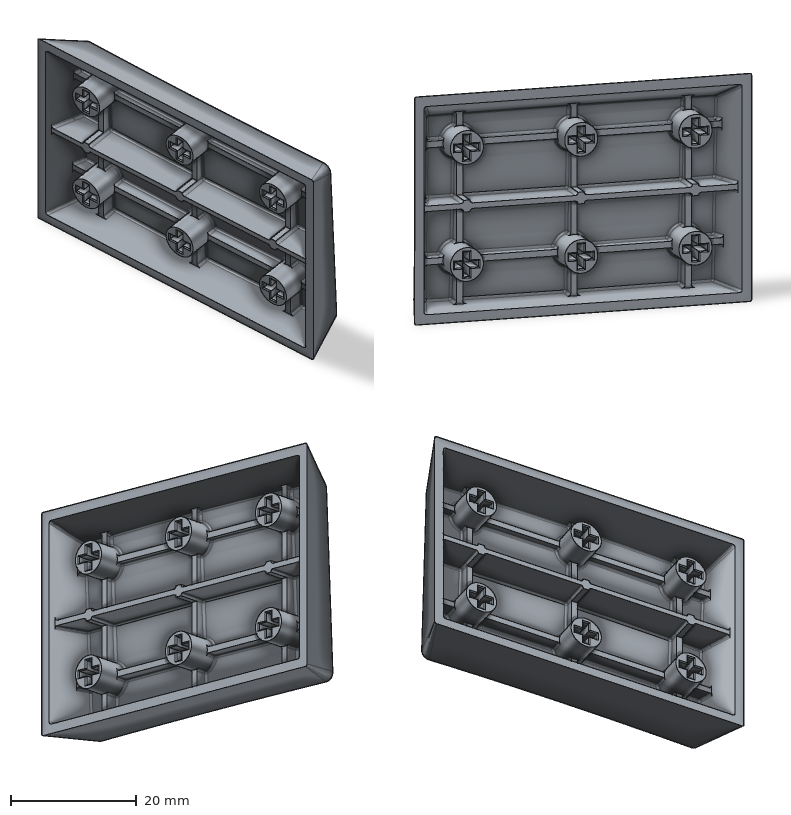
import cadquery as cq
import math

WIDTH = 56.2
HEIGHT = 37.15
RIM_CORNER_RADIUS = 0.35

BACK_HALF_WIDTH = 25.15
BACK_TOP_Z = 14.85
BACK_TOP_Y = 8.05
BACK_BOTTOM_Z = -18.1
BACK_BOTTOM_Y = 9.73
BACK_CORNER_RADIUS = 1.5
BACK_EDGE_FILLET = 0.3
DISH_SAG = 0.45

OPENING_HALF_WIDTH = 26.5
OPENING_TOP_Z = 16.9
OPENING_BOTTOM_Z = -17.0
FLOOR_HALF_WIDTH = 24.1
FLOOR_TOP_Z = 13.95
FLOOR_BOTTOM_Z = -16.65
FLOOR_THICKNESS = 2.0
CAVITY_CORNER_RADIUS = 0.45
ROOT_FILLET = 0.4
CORNER_FILLET = 0.5

KEY_PITCH = 19.05
STEM_XS = (-KEY_PITCH, 0, KEY_PITCH)
STEM_ZS = (-KEY_PITCH / 2, KEY_PITCH / 2)
STEM_DIAMETER = 5.5
STEM_FRONT_Y = 1.0
CROSS_LENGTH = 4.05
CROSS_ARM = 1.05
CROSS_CHAMFER = 0.18
CROSS_DEPTH = 4.0
RIB_THICKNESS = 1.05
RIB_FRONT_Y = 4.8
MAIN_RIB_THICKNESS = 0.9
MAIN_RIB_FRONT_Y = 1.0

SLANT_RUN = BACK_BOTTOM_Y - BACK_TOP_Y
SLANT_RISE = BACK_TOP_Z - BACK_BOTTOM_Z
SLANT_LENGTH = math.hypot(SLANT_RUN, SLANT_RISE)
SLANT_COSINE = SLANT_RISE / SLANT_LENGTH
INWARD_NORMAL = (0, -SLANT_COSINE, -SLANT_RUN / SLANT_LENGTH)
DISH_RADIUS = (BACK_HALF_WIDTH**2 + DISH_SAG**2) / (2 * DISH_SAG)

ALONG_Y_LIMIT = 0.7


def rim_plane(z):
    """Plane of the rim, facing -Y, with its origin at height z."""
    return cq.Plane(origin=(0, 0, z), xDir=(1, 0, 0), normal=(0, -1, 0))


def slanted_plane(z, depth):
    """Plane parallel to the back face, depth millimetres inside it, with its origin at height z."""
    back_y = BACK_BOTTOM_Y - SLANT_RUN * (z - BACK_BOTTOM_Z) / SLANT_RISE
    y = back_y - depth / SLANT_COSINE
    return cq.Plane(origin=(0, y, z), xDir=(1, 0, 0), normal=INWARD_NORMAL)


def rounded_outline(plane, half_width, half_height, radius):
    """Closed wire: rectangle with arc corners, centred on the plane's origin."""
    straight_x = half_width - radius
    straight_y = half_height - radius
    arc_x = straight_x + radius * math.sqrt(0.5)
    arc_y = straight_y + radius * math.sqrt(0.5)
    return (
        cq.Workplane(plane)
        .moveTo(-straight_x, -half_height)
        .lineTo(straight_x, -half_height)
        .threePointArc((arc_x, -arc_y), (half_width, -straight_y))
        .lineTo(half_width, straight_y)
        .threePointArc((arc_x, arc_y), (straight_x, half_height))
        .lineTo(-straight_x, half_height)
        .threePointArc((-arc_x, arc_y), (-half_width, straight_y))
        .lineTo(-half_width, -straight_y)
        .threePointArc((-arc_x, -arc_y), (-straight_x, -half_height))
        .close()
        .val()
    )


def dish(depth):
    """Cylinder whose surface is the dished back face moved depth millimetres inward."""
    plane = slanted_plane(0, 0)
    axis_point = plane.toWorldCoords((0, 0, DISH_SAG - DISH_RADIUS))
    axis_plane = cq.Plane(origin=axis_point, xDir=(1, 0, 0), normal=plane.yDir)
    return cq.Workplane(axis_plane).circle(DISH_RADIUS + depth).extrude(HEIGHT, both=True)


def dished_block(rim, back, depth):
    """Block tapering from the rim outline to the back outline, with a dished back."""
    return cq.Workplane(cq.Solid.makeLoft([rim, back], True)).cut(dish(depth))


def outer_block():
    rim = rounded_outline(rim_plane(0), WIDTH / 2, HEIGHT / 2, RIM_CORNER_RADIUS)
    back_plane = slanted_plane((BACK_TOP_Z + BACK_BOTTOM_Z) / 2, 0)
    back = rounded_outline(back_plane, BACK_HALF_WIDTH, SLANT_LENGTH / 2, BACK_CORNER_RADIUS)
    block = dished_block(rim, back, 0)
    return block.faces(">Y").edges().fillet(BACK_EDGE_FILLET)


def cavity():
    opening_plane = rim_plane((OPENING_TOP_Z + OPENING_BOTTOM_Z) / 2)
    opening_half_height = (OPENING_TOP_Z - OPENING_BOTTOM_Z) / 2
    opening = rounded_outline(opening_plane, OPENING_HALF_WIDTH, opening_half_height, CAVITY_CORNER_RADIUS)
    floor_plane = slanted_plane((FLOOR_TOP_Z + FLOOR_BOTTOM_Z) / 2, FLOOR_THICKNESS)
    floor_half_height = (FLOOR_TOP_Z - FLOOR_BOTTOM_Z) / 2 / SLANT_COSINE
    floor = rounded_outline(floor_plane, FLOOR_HALF_WIDTH, floor_half_height, CAVITY_CORNER_RADIUS)
    return dished_block(opening, floor, FLOOR_THICKNESS)


def slab(width, height, x, z, front_y, back_y):
    """Rectangular block centred on (x, z), spanning front_y to back_y."""
    depth = back_y - front_y
    return cq.Workplane("XY").box(width, depth, height).translate((x, front_y + depth / 2, z))


def layer(front_y, back_y):
    """Full-size slice of the part between two depths."""
    return slab(WIDTH, HEIGHT, 0, 0, front_y, back_y)


def main_rib(back_y):
    return slab(WIDTH, MAIN_RIB_THICKNESS, 0, 0, MAIN_RIB_FRONT_Y, back_y)


def stem(x, z):
    return (
        cq.Workplane("XZ", origin=(x, STEM_FRONT_Y, z))
        .circle(STEM_DIAMETER / 2)
        .extrude(STEM_FRONT_Y - BACK_BOTTOM_Y)
    )


def crossing_post(x):
    """Front part of the hollow-cornered post where an upright rib crosses the main rib."""
    width = RIB_THICKNESS + 2 * CORNER_FILLET
    height = MAIN_RIB_THICKNESS + 2 * CORNER_FILLET
    post = slab(width, height, x, 0, MAIN_RIB_FRONT_Y, RIB_FRONT_Y)
    hollows = (
        cq.Workplane("XZ", origin=(x, 0, 0))
        .rect(width, height, forConstruction=True)
        .vertices()
        .circle(CORNER_FILLET)
        .extrude(-RIB_FRONT_Y)
    )
    return post.cut(hollows)


def pick_edges(body, test):
    return body.newObject([edge for edge in body.edges().vals() if test(edge)])


def runs_into_depth(edge):
    return abs(edge.tangentAt(0.5).y) > ALONG_Y_LIMIT


def is_main_rib_corner(edge):
    """True where the main rib meets a side wall."""
    return runs_into_depth(edge) and abs(edge.Center().z) < MAIN_RIB_THICKNESS


def is_cell_corner(edge):
    """True for edges down a cell's corners, except those of the cavity's own round corners."""
    center = edge.Center()
    beside_stems = abs(center.x) > KEY_PITCH + STEM_DIAMETER / 2
    beyond_stems = abs(center.z) > (KEY_PITCH + STEM_DIAMETER) / 2
    return runs_into_depth(edge) and not (beside_stems and beyond_stems)


def front_space(whole_cavity):
    """Space from the rim to the front of the lower ribs, around the main rib, posts and stems."""
    space = whole_cavity.intersect(layer(0, RIB_FRONT_Y)).cut(main_rib(RIB_FRONT_Y))
    space = pick_edges(space, is_main_rib_corner).fillet(CORNER_FILLET)
    for x in STEM_XS:
        space = space.cut(crossing_post(x))
        for z in STEM_ZS:
            space = space.cut(stem(x, z))
    return space


def deep_cells(whole_cavity):
    """Cells between the ribs and stems, rounded down their corners and around the floor."""
    space = whole_cavity.intersect(layer(RIB_FRONT_Y, BACK_BOTTOM_Y)).cut(main_rib(BACK_BOTTOM_Y))
    for z in STEM_ZS:
        space = space.cut(slab(WIDTH, RIB_THICKNESS, 0, z, RIB_FRONT_Y, BACK_BOTTOM_Y))
    for x in STEM_XS:
        space = space.cut(slab(RIB_THICKNESS, HEIGHT, x, 0, RIB_FRONT_Y, BACK_BOTTOM_Y))
        for z in STEM_ZS:
            space = space.cut(stem(x, z))
    cells = []
    for solid in space.solids().vals():
        cell = pick_edges(cq.Workplane(solid), is_cell_corner).fillet(CORNER_FILLET)
        cells.append(cell.faces(">Y").edges().fillet(ROOT_FILLET))
    return cells


def cross_outline(x, z, margin):
    """Cross on the front of a stem, grown by margin on every side."""
    arm = CROSS_ARM / 2 + margin
    reach = CROSS_LENGTH / 2 + margin
    corners = [
        (reach, -arm), (reach, arm), (arm, arm), (arm, reach),
        (-arm, reach), (-arm, arm), (-reach, arm), (-reach, -arm),
        (-arm, -arm), (-arm, -reach), (arm, -reach), (arm, -arm),
    ]
    return cq.Workplane("XZ", origin=(x, STEM_FRONT_Y, z)).polyline(corners).close()


def cross_hole(x, z):
    """Cross-shaped socket with a chamfered mouth."""
    socket = cross_outline(x, z, 0).extrude(-CROSS_DEPTH)
    mouth = cross_outline(x, z, CROSS_CHAMFER).extrude(-CROSS_CHAMFER, taper=45)
    return socket.union(mouth)


def keycap():
    whole_cavity = cavity()
    body = outer_block().cut(front_space(whole_cavity))
    hollows = deep_cells(whole_cavity)
    for x in STEM_XS:
        for z in STEM_ZS:
            hollows.append(cross_hole(x, z))
    return cq.Workplane(body.val().cut(*[hollow.val() for hollow in hollows])).clean()


result = keycap()